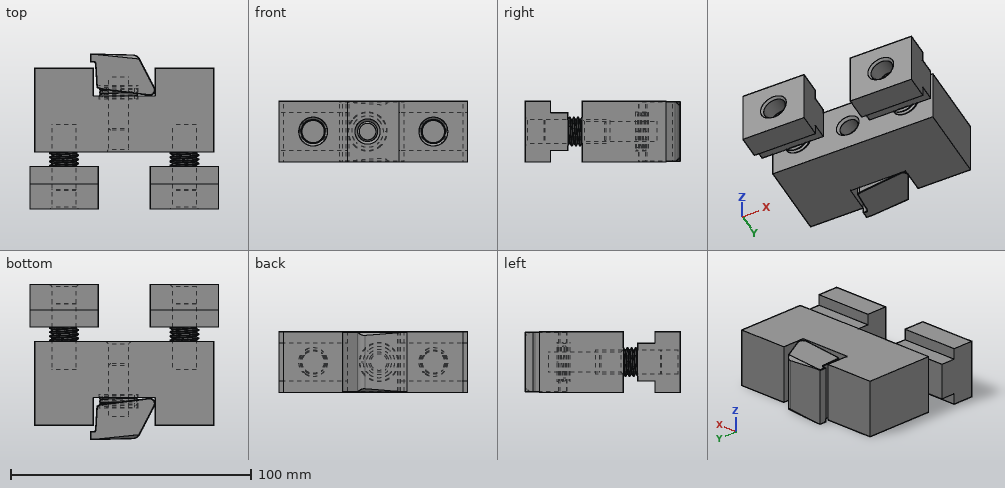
import cadquery as cq
import math

overall_length = 78.6
height = 25.4
mid_x = overall_length / 2
block_length = 74.65
block_front = 23.7
block_depth = 35.0
block_back = block_front + block_depth
slot_width = 25.6
slot_depth = 11.55
slot_floor = block_back - slot_depth

nut_spacing = 50.05
nut_width = overall_length - nut_spacing
nut_depth = 17.8
nut_flange = 10.6
nut_neck = 15.8
nut_positions = [mid_x - nut_spacing / 2, mid_x + nut_spacing / 2]

stud_core = 10.05
stud_crest = 12.0
stud_start = 7.85
stud_end = 35.4
stud_tip_chamfer = 0.4
thread_pitch = 1.7
thread_base = 1.5
thread_flat = 0.2
thread_bite = 0.1
thread_start = 15.55
thread_turns = 6

screw_x = 36.9
screw_diameter = 8.3
screw_start = 33.0
screw_end = 55.0
screw_tip_chamfer = 0.7
screw_hole_mouth = 10.5

spring_outer = 15.8
spring_wire = 1.3
spring_pitch = 1.4
spring_turns = 3
spring_pocket_depth = 1.25
spring_bottom = slot_floor - spring_pocket_depth
spring_pocket = 16.3
jaw_pocket_top = spring_bottom + spring_pitch * spring_turns + spring_wire

jaw_height = 25.0
jaw_edge_chamfer = 0.2
jaw_back = 64.7
jaw_back_drop = 0.5
jaw_lip_x = 25.15
jaw_lip_reach = 2.1
jaw_lip_bottom = 61.3
jaw_lip_fillet = 0.8
jaw_lower_corners = [(27.9, 50.7), (29.15, 50.05)]
jaw_toe = (53.75, 46.9)
jaw_toe_fillet = 2.2
jaw_heel_x = 44.8
jaw_heel_fillet = 3.5
jaw_relief_width = 1.6
jaw_relief_height = 1.6
jaw_relief_margin = 4.7


def y_cylinder(x, diameter, start, end):
    """Cylinder along Y from start to end."""
    circle = cq.Workplane("XZ", origin=(x, start, 0)).circle(diameter / 2)
    return circle.extrude(start - end)


def y_cone(x, start_diameter, end_diameter, start):
    """45-degree cone along Y, narrowing from the start."""
    length = (start_diameter - end_diameter) / 2
    end = start + length
    profile = [(0, start), (start_diameter / 2, start), (end_diameter / 2, end), (0, end)]
    cone = cq.Workplane("XY").polyline(profile).close().revolve(360, (0, 0, 0), (0, 1, 0))
    return cone.translate((x, 0, 0))


def box_between(x0, x1, y0, y1, z_size):
    """Box centred on Z = 0."""
    return cq.Workplane("XY").box(x1 - x0, y1 - y0, z_size).translate(((x0 + x1) / 2, (y0 + y1) / 2, 0))


def make_block():
    block_left = mid_x - block_length / 2
    block = box_between(block_left, block_left + block_length, block_front, block_back, height)
    slot = box_between(mid_x - slot_width / 2, mid_x + slot_width / 2, slot_floor, block_back, height)
    block = block.cut(slot)
    for x in nut_positions:
        block = block.cut(y_cylinder(x, stud_core, block_front, stud_end))
    block = block.cut(y_cylinder(screw_x, screw_diameter, block_front, slot_floor))
    block = block.cut(y_cone(screw_x, screw_hole_mouth, screw_diameter, block_front))
    return block.cut(y_cylinder(screw_x, spring_pocket, spring_bottom, slot_floor))


def make_nut(x):
    flange = box_between(x - nut_width / 2, x + nut_width / 2, 0, nut_flange, height)
    neck = box_between(x - nut_width / 2, x + nut_width / 2, nut_flange, nut_depth, nut_neck)
    nut = flange.union(neck)
    nut = nut.cut(y_cylinder(x, stud_core, 0, nut_depth))
    return nut.cut(y_cone(x, stud_crest, stud_core, 0))


def make_stud(x):
    core = y_cylinder(0, stud_core, stud_start, stud_end).faces("<Y").chamfer(stud_tip_chamfer)
    root_radius = stud_core / 2 - thread_bite
    crest_radius = stud_crest / 2
    path = cq.Wire.makeHelix(thread_pitch, thread_pitch * thread_turns, root_radius)
    profile = [
        (root_radius, -thread_base / 2),
        (crest_radius, -thread_flat / 2),
        (crest_radius, thread_flat / 2),
        (root_radius, thread_base / 2),
    ]
    ridge = cq.Workplane("XZ").polyline(profile).close().sweep(path, isFrenet=True)
    ridge = ridge.rotate((0, 0, 0), (1, 0, 0), -90)
    ridge = ridge.translate((0, thread_start, 0))
    gap = y_cylinder(0, 2 * stud_crest, nut_depth, block_front)
    return core.union(ridge.intersect(gap)).translate((x, 0, 0))


def make_screw():
    screw = y_cylinder(screw_x, screw_diameter, screw_start, screw_end)
    return screw.faces("<Y").chamfer(screw_tip_chamfer)


def make_spring():
    radius = (spring_outer - spring_wire) / 2
    path = cq.Wire.makeHelix(spring_pitch, spring_pitch * spring_turns, radius)
    coil = cq.Workplane("XZ", origin=(radius, 0, 0)).circle(spring_wire / 2).sweep(path, isFrenet=True)
    coil = coil.rotate((0, 0, 0), (1, 0, 0), -90)
    return coil.translate((screw_x, spring_bottom + spring_wire / 2, 0))


def make_jaw_relief():
    """Cutter sloping off the upper edge of the clamping face, wider and deeper toward the heel."""
    lip_edge = (jaw_lip_x, jaw_back)
    heel_edge = (jaw_heel_x, jaw_back - jaw_back_drop - jaw_relief_width)
    clear_x = jaw_toe[0]
    clear_y = jaw_back + jaw_relief_margin
    outline = [lip_edge, heel_edge, (clear_x, heel_edge[1]), (clear_x, clear_y), (jaw_lip_x, clear_y)]
    relief_slope = math.degrees(math.atan(jaw_relief_width / jaw_relief_height))
    return (
        cq.Workplane("XY", origin=(0, 0, jaw_height / 2))
        .polyline(outline)
        .close()
        .extrude(-jaw_relief_height, taper=relief_slope)
    )


def make_jaw():
    lip_corner = (jaw_lip_x + jaw_lip_reach, jaw_lip_bottom)
    heel = (jaw_heel_x, jaw_back - jaw_back_drop)
    lip = [(jaw_lip_x, jaw_back), (jaw_lip_x, jaw_lip_bottom), lip_corner]
    jaw = (
        cq.Workplane("XY", origin=(0, 0, -jaw_height / 2))
        .polyline([*lip, *jaw_lower_corners, jaw_toe, heel])
        .close()
        .extrude(jaw_height)
    )
    fillets = [(lip_corner, jaw_lip_fillet), (jaw_toe, jaw_toe_fillet), (heel, jaw_heel_fillet)]
    for corner, radius in fillets:
        jaw = jaw.edges(cq.selectors.NearestToPointSelector((*corner, 0))).fillet(radius)
    jaw = jaw.faces("<Z or >Z").chamfer(jaw_edge_chamfer)
    relief = make_jaw_relief()
    jaw = jaw.cut(relief).cut(relief.mirror("XY"))
    jaw = jaw.cut(y_cylinder(screw_x, screw_diameter, slot_floor, screw_end))
    return jaw.cut(y_cylinder(screw_x, spring_pocket, slot_floor, jaw_pocket_top))


block = make_block().solids()
nuts = [make_nut(x).solids() for x in nut_positions]
studs = [make_stud(x).solids() for x in nut_positions]
screw = make_screw().solids()
spring = make_spring()
jaw = make_jaw().solids()

result = cq.Compound.makeCompound(
    [
        block.val(),
        *[nut.val() for nut in nuts],
        *[stud.val() for stud in studs],
        screw.val(),
        spring.val(),
        jaw.val(),
    ]
)